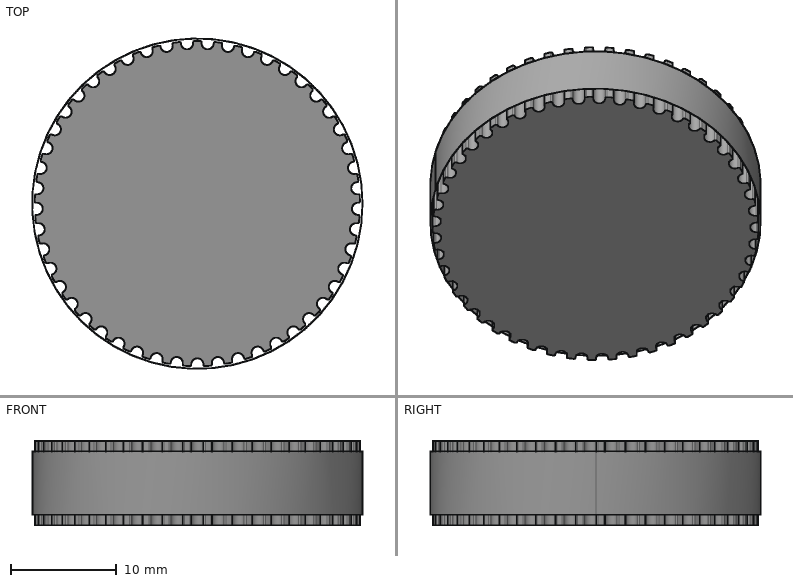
import cadquery as cq
import math

TOOTH_COUNT = 49
TIP_RADIUS = 15.35
GROOVE_DEPTH = 0.75
GROOVE_RADIUS = 0.55
TIP_FILLET = 0.15
CORE_HEIGHT = 8.0

BAND_RADIUS = 15.6
BAND_THICKNESS = 0.03
EXPOSED_TOOTH_HEIGHT = 1.0
BAND_HEIGHT = CORE_HEIGHT - 2 * EXPOSED_TOOTH_HEIGHT

WEB_WIDTH = 0.05
WEB_OVERLAP = BAND_THICKNESS / 2

PITCH_ANGLE = 2 * math.pi / TOOTH_COUNT
FIRST_GROOVE_ANGLE = -math.pi / 2


def groove_point(groove_angle, radial, sideways):
    """Place a point given along and across the centreline of a groove."""
    cosine = math.cos(groove_angle)
    sine = math.sin(groove_angle)
    return (radial * cosine - sideways * sine, radial * sine + sideways * cosine)


def make_core():
    """Round-bottomed grooves with straight walls and rounded tooth tips."""
    root_radius = TIP_RADIUS - GROOVE_DEPTH
    groove_centre = root_radius + GROOVE_RADIUS

    fillet_sideways = GROOVE_RADIUS + TIP_FILLET
    fillet_radial = math.sqrt((TIP_RADIUS - TIP_FILLET) ** 2 - fillet_sideways**2)
    tip_angle = math.atan2(fillet_sideways, fillet_radial)
    tip_radial = TIP_RADIUS * math.cos(tip_angle)
    tip_sideways = TIP_RADIUS * math.sin(tip_angle)

    outline = cq.Workplane("XY").moveTo(*groove_point(FIRST_GROOVE_ANGLE, tip_radial, -tip_sideways))
    for index in range(TOOTH_COUNT):
        angle = FIRST_GROOVE_ANGLE + index * PITCH_ANGLE
        next_angle = angle + PITCH_ANGLE
        outline = (
            outline.radiusArc(groove_point(angle, fillet_radial, -GROOVE_RADIUS), -TIP_FILLET)
            .lineTo(*groove_point(angle, groove_centre, -GROOVE_RADIUS))
            .threePointArc(
                groove_point(angle, root_radius, 0),
                groove_point(angle, groove_centre, GROOVE_RADIUS),
            )
            .lineTo(*groove_point(angle, fillet_radial, GROOVE_RADIUS))
            .radiusArc(groove_point(angle, tip_radial, tip_sideways), -TIP_FILLET)
            .threePointArc(
                groove_point(angle + PITCH_ANGLE / 2, TIP_RADIUS, 0),
                groove_point(next_angle, tip_radial, -tip_sideways),
            )
        )
    return outline.close().extrude(CORE_HEIGHT)


def make_band():
    """Thin ring that stands just clear of the tooth tips."""
    return (
        cq.Workplane("XY", origin=(0, 0, EXPOSED_TOOTH_HEIGHT))
        .circle(BAND_RADIUS)
        .circle(BAND_RADIUS - BAND_THICKNESS)
        .extrude(BAND_HEIGHT)
    )


def make_web():
    """Web across the gap, set slightly into both the tooth and the band."""
    inner_y = TIP_RADIUS - WEB_OVERLAP
    outer_y = BAND_RADIUS - BAND_THICKNESS + WEB_OVERLAP
    return (
        cq.Workplane("XY", origin=(0, (inner_y + outer_y) / 2, EXPOSED_TOOTH_HEIGHT))
        .rect(WEB_WIDTH, outer_y - inner_y)
        .extrude(BAND_HEIGHT)
    )


result = make_core().union(make_web()).union(make_band())